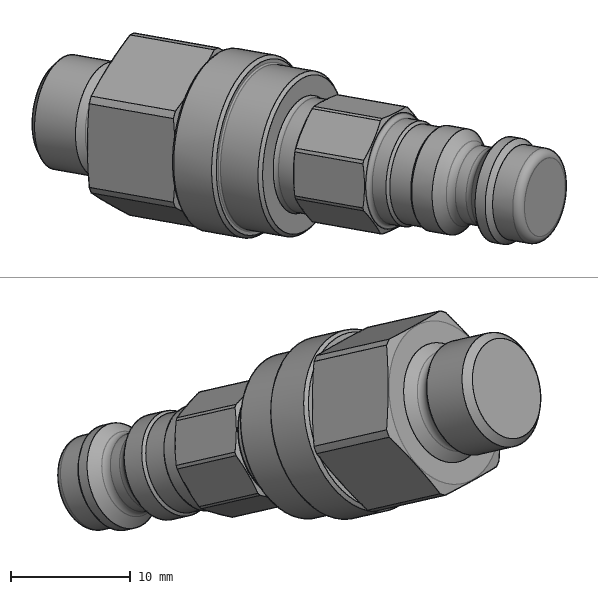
import cadquery as cq
import math

TOTAL_LENGTH = 47.3
SIN_45 = math.sqrt(0.5)

STUD_RADIUS = 9.75 / 2
STUD_CHAMFER = 0.6
STUD_END = 4.6
UNDERCUT_RADIUS = 8.15 / 2
UNDERCUT_FILLET = 0.7
HEX_START = 7.0
HEX_END = 15.55
HEX_FLATS = 14.0
HEX_CORNER_DIAMETER = 15.8
HEX_FACE_DIAMETER = 13.85
HEX_CHAMFER_LENGTH = 0.2

RING_RADIUS = 15.5 / 2
RING_END = 19.8
NOSE_RADIUS = 14.05 / 2
SLEEVE_END = 23.9
SLEEVE_CHAMFER = 0.3
STEP_FILLET = 0.15

COLLAR_RADIUS = 9.75 / 2
COLLAR_FLARE_LENGTH = 0.43
COLLAR_FLARE_RADIUS = 0.7
OCTAGON_START = 25.83
OCTAGON_END = 32.83
OCTAGON_FLATS = 10.1
OCTAGON_CORNER_DIAMETER = 10.85
OCTAGON_FACE_DIAMETER = 9.9
OCTAGON_CHAMFER_LENGTH = 0.2
SHANK_RADIUS = 9.0 / 2
SHANK_FILLET = 0.4
BAND_RADIUS = 8.5 / 2
BAND_START = 34.75
BAND_END = 36.8
GROOVE_RADIUS = 6.65 / 2
GROOVE_START = 40.6
GROOVE_END = 41.62
GROOVE_FILLET = 1.0
LIP_END = 44.2
TIP_RADIUS = 8.1 / 2
TIP_FILLET = 0.7


def turned(profile):
    """Close a half profile drawn from axis to axis and revolve it about X."""
    return profile.close().revolve(360, (0, 0, 0), (1, 0, 0))


def wrench_section(sides, flats, corner_diameter, face_diameter, start, end, chamfer):
    """Prism along X with flats facing Y, rounded-off corners and a conical chamfer at both ends."""
    prism = (
        cq.Workplane("YZ", origin=(start, 0, 0))
        .transformed(rotate=(0, 0, 180 / sides))
        .polygon(sides, flats / math.cos(math.pi / sides))
        .extrude(end - start)
    )
    envelope = turned(
        cq.Workplane("XY")
        .moveTo(start, 0)
        .lineTo(start, face_diameter / 2)
        .lineTo(start + chamfer, corner_diameter / 2)
        .lineTo(end - chamfer, corner_diameter / 2)
        .lineTo(end, face_diameter / 2)
        .lineTo(end, 0)
    )
    return prism.intersect(envelope)


def make_socket():
    wall_foot = UNDERCUT_RADIUS + UNDERCUT_FILLET * (1 - SIN_45)
    arc_half_width = UNDERCUT_FILLET * SIN_45
    arc_start = STUD_END + STUD_RADIUS - wall_foot
    arc_middle = arc_start + arc_half_width
    arc_end = arc_middle + arc_half_width
    stud = turned(
        cq.Workplane("XY")
        .moveTo(0, 0)
        .lineTo(0, STUD_RADIUS - STUD_CHAMFER)
        .lineTo(STUD_CHAMFER, STUD_RADIUS)
        .lineTo(STUD_END, STUD_RADIUS)
        .lineTo(arc_start, wall_foot)
        .threePointArc((arc_middle, UNDERCUT_RADIUS), (arc_end, wall_foot))
        .lineTo(HEX_START, wall_foot + HEX_START - arc_end)
        .lineTo(HEX_START, 0)
    )
    hexagon = wrench_section(
        6, HEX_FLATS, HEX_CORNER_DIAMETER, HEX_FACE_DIAMETER,
        HEX_START, HEX_END, HEX_CHAMFER_LENGTH,
    )
    return stud.union(hexagon)


def make_sleeve():
    return turned(
        cq.Workplane("XY")
        .moveTo(HEX_END, 0)
        .lineTo(HEX_END, RING_RADIUS - SLEEVE_CHAMFER)
        .lineTo(HEX_END + SLEEVE_CHAMFER, RING_RADIUS)
        .lineTo(RING_END - SLEEVE_CHAMFER, RING_RADIUS)
        .lineTo(RING_END, RING_RADIUS - SLEEVE_CHAMFER)
        .lineTo(RING_END, NOSE_RADIUS + STEP_FILLET)
        .radiusArc((RING_END + STEP_FILLET, NOSE_RADIUS), -STEP_FILLET)
        .lineTo(SLEEVE_END - SLEEVE_CHAMFER, NOSE_RADIUS)
        .lineTo(SLEEVE_END, NOSE_RADIUS - SLEEVE_CHAMFER)
        .lineTo(SLEEVE_END, 0)
    )


def make_collar():
    """Round neck that flares slightly where it leaves the sleeve."""
    flare_end = SLEEVE_END + COLLAR_FLARE_LENGTH
    flare_height = COLLAR_FLARE_RADIUS - math.sqrt(COLLAR_FLARE_RADIUS**2 - COLLAR_FLARE_LENGTH**2)
    return turned(
        cq.Workplane("XY")
        .moveTo(SLEEVE_END, 0)
        .lineTo(SLEEVE_END, COLLAR_RADIUS + flare_height)
        .radiusArc((flare_end, COLLAR_RADIUS), -COLLAR_FLARE_RADIUS)
        .lineTo(OCTAGON_START, COLLAR_RADIUS)
        .lineTo(OCTAGON_START, 0)
    )


def make_shank():
    """Everything beyond the octagon; all conical steps are at 45 degrees."""
    band_step = SHANK_RADIUS - BAND_RADIUS
    wall_foot = GROOVE_RADIUS + GROOVE_FILLET * (1 - SIN_45)
    fillet_length = GROOVE_FILLET * SIN_45
    wall_length = SHANK_RADIUS - wall_foot
    left_foot = GROOVE_START - fillet_length
    right_foot = GROOVE_END + fillet_length
    return turned(
        cq.Workplane("XY")
        .moveTo(OCTAGON_END, 0)
        .lineTo(OCTAGON_END, SHANK_RADIUS + SHANK_FILLET)
        .radiusArc((OCTAGON_END + SHANK_FILLET, SHANK_RADIUS), -SHANK_FILLET)
        .lineTo(BAND_START - band_step, SHANK_RADIUS)
        .lineTo(BAND_START, BAND_RADIUS)
        .lineTo(BAND_END, BAND_RADIUS)
        .lineTo(BAND_END + band_step, SHANK_RADIUS)
        .lineTo(left_foot - wall_length, SHANK_RADIUS)
        .lineTo(left_foot, wall_foot)
        .radiusArc((GROOVE_START, GROOVE_RADIUS), -GROOVE_FILLET)
        .lineTo(GROOVE_END, GROOVE_RADIUS)
        .radiusArc((right_foot, wall_foot), -GROOVE_FILLET)
        .lineTo(right_foot + wall_length, SHANK_RADIUS)
        .lineTo(LIP_END, SHANK_RADIUS)
        .lineTo(LIP_END + SHANK_RADIUS - TIP_RADIUS, TIP_RADIUS)
        .lineTo(TOTAL_LENGTH - TIP_FILLET, TIP_RADIUS)
        .radiusArc((TOTAL_LENGTH, TIP_RADIUS - TIP_FILLET), TIP_FILLET)
        .lineTo(TOTAL_LENGTH, 0)
    )


def make_plug():
    octagon = wrench_section(
        8, OCTAGON_FLATS, OCTAGON_CORNER_DIAMETER, OCTAGON_FACE_DIAMETER,
        OCTAGON_START, OCTAGON_END, OCTAGON_CHAMFER_LENGTH,
    )
    return make_collar().union(octagon).union(make_shank())


socket = make_socket()
sleeve = make_sleeve()
plug = make_plug()

result = cq.Compound.makeCompound([socket.val(), sleeve.val(), plug.val()])